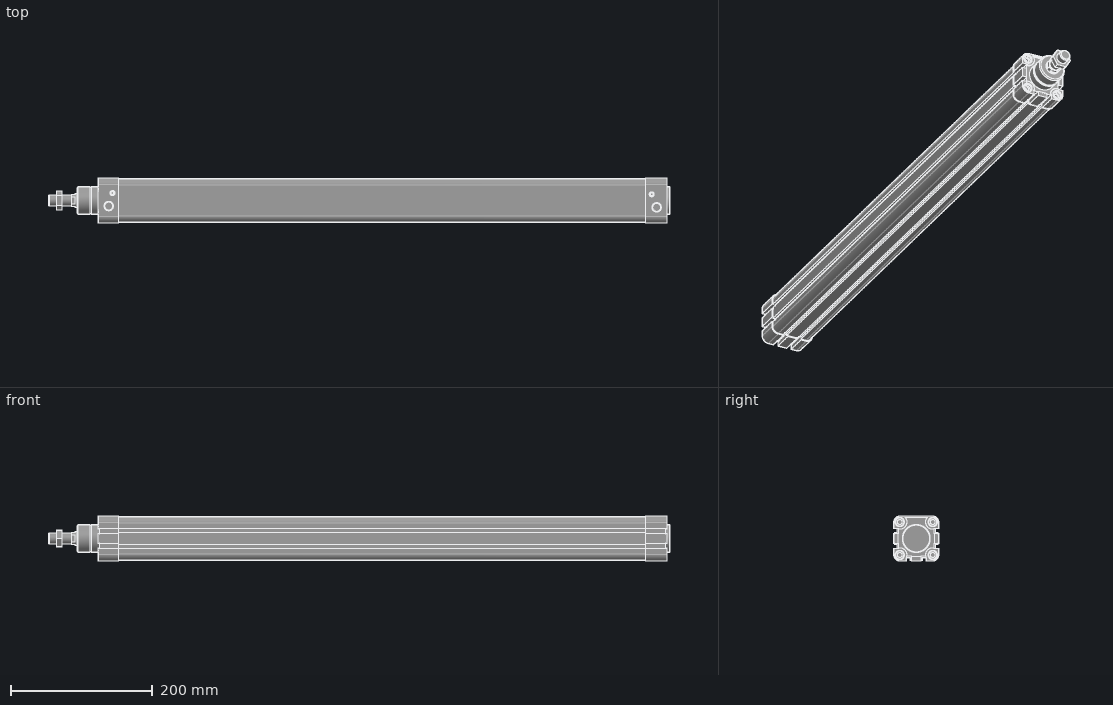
import cadquery as cq
import math

overall_length = 878.5
thread_diameter = 16.0
thread_length = 32.5
tip_chamfer = 1.3
rod_diameter = 20.0
rod_flat_width = 18.0
rod_flat_length = 5.0

nut_start = 11.0
nut_thickness = 8.0
nut_across_flats = 24.0

boss_diameter = 39.5
boss_chamfer = 2.0
boss_groove_diameter = 37.0
boss_groove_width = 2.0
boss_groove_offset = 10.0
front_boss_length = 30.0
rear_boss_length = 4.0
rear_boss_chamfer = 1.0

cap_size = 64.0
cap_corner = 10.0
cap_face = 70.0
front_cap_length = 29.0
rear_cap_length = 31.0

barrel_size = 61.5
barrel_corner = 9.0

groove_outer = 14.0
cap_groove_inner = 7.0
cap_groove_depth = 7.0
barrel_groove_inner = 9.0
barrel_groove_depth = 3.5

recess_depth = 2.2
recess_half_width = 25.5
recess_top = 30.0
post_diameter = 20.0

screw_spacing = 46.5
screw_steps = [(13.0, 2.0), (11.0, 5.0), (6.9, 10.0)]

port_steps = [(13.0, 2.0), (11.0, 10.5)]
cushion_steps = [(7.0, 3.0), (4.0, 5.0)]
port_inset = 15.0
front_port_y = -8.0
rear_port_y = -10.0
front_cushion_inset = 20.0
rear_cushion_inset = 22.0
port_to_cushion_y = 18.5

boss_face = cap_face - front_boss_length
boss_groove_end = cap_face - boss_groove_offset
rear_face = overall_length - rear_boss_length
barrel_start = cap_face + front_cap_length
barrel_end = rear_face - rear_cap_length


def axial_cylinder(start, end, diameter):
    """Cylinder on the X axis."""
    return cq.Workplane("YZ", origin=(start, 0, 0)).circle(diameter / 2).extrude(end - start)


def grooved_bar(start, end, size, corner, groove_inner, groove_depth):
    """Square bar with rounded corners, grooved lengthwise on both sides and underneath."""
    length = end - start
    bar = cq.Workplane("YZ", origin=(start, 0, 0)).rect(size, size).extrude(length)
    bar = bar.edges("|X").fillet(corner)
    groove_middle = (groove_outer + groove_inner) / 2
    groove_pair = (
        cq.Workplane("YZ", origin=(start, 0, 0))
        .pushPoints([(-groove_middle, -size / 2), (groove_middle, -size / 2)])
        .rect(groove_outer - groove_inner, 2 * groove_depth)
        .extrude(length)
    )
    for angle in (-90, 0, 90):
        bar = bar.cut(groove_pair.rotate((0, 0, 0), (1, 0, 0), angle))
    return bar


def cut_face_recess(body, face_x, inward):
    """Cut the shallow recess into a cap face; inward is the X direction into the cap."""
    recess = (
        cq.Workplane("YZ", origin=(face_x, 0, (recess_top - recess_half_width) / 2))
        .rect(2 * recess_half_width, recess_top + recess_half_width)
        .extrude(inward * recess_depth)
    )
    posts = (
        cq.Workplane("YZ", origin=(face_x, 0, 0))
        .rect(screw_spacing, screw_spacing, forConstruction=True)
        .vertices()
        .circle(post_diameter / 2)
        .extrude(inward * recess_depth)
    )
    corners = (
        cq.Workplane("YZ", origin=(face_x, 0, 0))
        .rect(cap_size, cap_size, forConstruction=True)
        .vertices()
        .rect(cap_size - screw_spacing, cap_size - screw_spacing)
        .extrude(inward * recess_depth)
    )
    recess = recess.cut(posts).cut(corners)
    return body.cut(recess)


def cut_screw_holes(body, face_x, inward):
    """Cut the four stepped screw holes into a cap face; inward is the X direction into the cap."""
    for diameter, depth in screw_steps:
        holes = (
            cq.Workplane("YZ", origin=(face_x, 0, 0))
            .rect(screw_spacing, screw_spacing, forConstruction=True)
            .vertices()
            .circle(diameter / 2)
            .extrude(inward * depth)
        )
        body = body.cut(holes)
    return body


def cut_top_hole(body, x, y, steps):
    """Cut a stepped blind hole into the top of a cap."""
    for diameter, depth in steps:
        hole = cq.Workplane("XY", origin=(x, y, cap_size / 2)).circle(diameter / 2).extrude(-depth)
        body = body.cut(hole)
    return body


def make_cap(start, end, face_x, inward, port_y, cushion_inset):
    """End cap with its screw holes, air port and cushion screw hole."""
    cap = grooved_bar(start, end, cap_size, cap_corner, cap_groove_inner, cap_groove_depth)
    cap = cut_face_recess(cap, face_x, inward)
    cap = cut_screw_holes(cap, face_x, inward)
    cap = cut_top_hole(cap, face_x + inward * port_inset, port_y, port_steps)
    cushion_x = face_x + inward * cushion_inset
    return cut_top_hole(cap, cushion_x, port_y + port_to_cushion_y, cushion_steps)


def make_housing():
    """Barrel with both end caps and their bosses, bored for the rod."""
    barrel = grooved_bar(
        barrel_start, barrel_end, barrel_size, barrel_corner, barrel_groove_inner, barrel_groove_depth
    )
    front_cap = make_cap(cap_face, barrel_start, cap_face, 1, front_port_y, front_cushion_inset)
    rear_cap = make_cap(barrel_end, rear_face, rear_face, -1, rear_port_y, rear_cushion_inset)
    front_boss = axial_cylinder(boss_face, cap_face + recess_depth, boss_diameter)
    front_boss = front_boss.faces("<X").chamfer(boss_chamfer)
    boss_groove_start = boss_groove_end - boss_groove_width
    boss_groove = axial_cylinder(boss_groove_start, boss_groove_end, 2 * boss_diameter).cut(
        axial_cylinder(boss_groove_start, boss_groove_end, boss_groove_diameter)
    )
    front_boss = front_boss.cut(boss_groove)
    rear_boss = axial_cylinder(rear_face - recess_depth, overall_length, boss_diameter)
    rear_boss = rear_boss.faces(">X").chamfer(rear_boss_chamfer)
    rod_bore = axial_cylinder(boss_face, barrel_start, rod_diameter)
    housing = barrel.union(front_cap).union(rear_cap)
    housing = housing.union(front_boss).union(rear_boss)
    return housing.cut(rod_bore)


def make_rod():
    """Piston rod with a threaded end, four wrench flats and the lock nut."""
    thread = axial_cylinder(0, thread_length, thread_diameter).faces("<X").chamfer(tip_chamfer)
    shank = axial_cylinder(thread_length, barrel_start, rod_diameter)
    flat_depth = (rod_diameter - rod_flat_width) / 2
    flat_middle = thread_length + rod_flat_length / 2
    flat_cut = cq.Workplane("XY").box(rod_flat_length, 2 * flat_depth, rod_diameter)
    flat_cut = flat_cut.translate((flat_middle, rod_diameter / 2, 0))
    for angle in (0, 90, 180, 270):
        shank = shank.cut(flat_cut.rotate((0, 0, 0), (1, 0, 0), angle))
    nut_across_corners = nut_across_flats / math.cos(math.pi / 6)
    nut = cq.Workplane("YZ", origin=(nut_start, 0, 0)).polygon(6, nut_across_corners).extrude(nut_thickness)
    return thread.union(shank).union(nut)


housing = make_housing()
rod = make_rod()
result = cq.Compound.makeCompound([housing.val(), rod.val()])